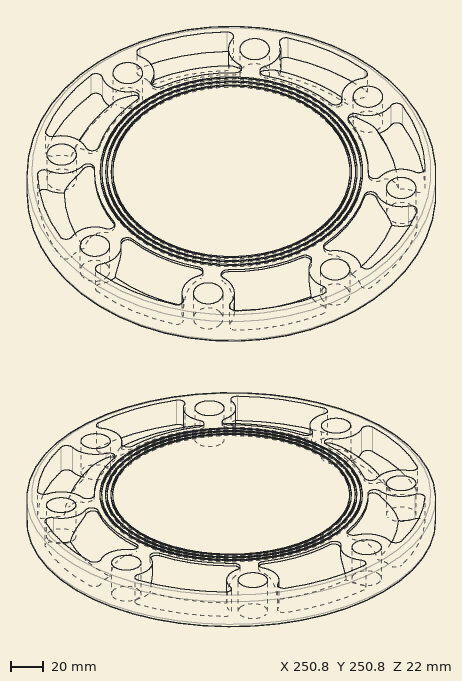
import cadquery as cq
import math

outer_diameter = 250.8
thickness = 22.0
rim_radius = 3.0

hole_count = 8
hole_diameter = 18.0
bolt_circle_radius = 105.0
boss_radius = 16.0

pocket_inner_radius = 84.0
pocket_outer_radius = 119.0
pocket_corner_radius = 4.0
pocket_depth = 17.3

shoulder_outer_radius = 102.5
shoulder_crest_radius = 83.3
shoulder_step = 1.8

groove_inner_diameters = (145.5, 152.2, 159.0)
groove_width = 1.0
groove_depth = 1.0

pitch_angle = 360.0 / hole_count
floor_height = thickness - pocket_depth


def polar(radius, angle):
    """Point at a radius and an angle in degrees from the X axis."""
    return (
        radius * math.cos(math.radians(angle)),
        radius * math.sin(math.radians(angle)),
    )


def triangle_angle(adjacent_a, adjacent_b, opposite):
    """Angle in degrees between two triangle sides, from the three side lengths."""
    cosine = (adjacent_a**2 + adjacent_b**2 - opposite**2) / (2 * adjacent_a * adjacent_b)
    return math.degrees(math.acos(cosine))


def flange_disc():
    """Disc with rounded rims and a circle of bolt holes."""
    disc = cq.Workplane("XY").circle(outer_diameter / 2).extrude(thickness)
    disc = disc.edges().fillet(rim_radius)
    holes = (
        cq.Workplane("XY")
        .polarArray(bolt_circle_radius, 0, 360, hole_count)
        .circle(hole_diameter / 2)
        .extrude(thickness)
    )
    return disc.cut(holes)


def pocket_prism():
    """Pocket between the boss on the X axis and the next one, before the shoulder is left in."""
    centre_to_boss = boss_radius + pocket_corner_radius
    inner_centre_radius = pocket_inner_radius + pocket_corner_radius
    outer_centre_radius = pocket_outer_radius - pocket_corner_radius
    inner_angle = triangle_angle(inner_centre_radius, bolt_circle_radius, centre_to_boss)
    outer_angle = triangle_angle(outer_centre_radius, bolt_circle_radius, centre_to_boss)
    middle_angle = pitch_angle / 2

    def boss_point(centre_radius, centre_angle):
        """Where a corner circle touches the boss."""
        x, y = polar(centre_radius, centre_angle)
        share = boss_radius / centre_to_boss
        return (bolt_circle_radius + (x - bolt_circle_radius) * share, y * share)

    def corner_middle(centre_radius, centre_angle, wall_point, touch_point):
        """Point halfway along the corner arc."""
        x, y = polar(centre_radius, centre_angle)
        dx = wall_point[0] + touch_point[0] - 2 * x
        dy = wall_point[1] + touch_point[1] - 2 * y
        scale = pocket_corner_radius / math.hypot(dx, dy)
        return (x + dx * scale, y + dy * scale)

    def mirrored(point):
        """Reflect a point in the pocket's own radial centre line."""
        angle = math.degrees(math.atan2(point[1], point[0]))
        return polar(math.hypot(*point), pitch_angle - angle)

    inner_wall = polar(pocket_inner_radius, inner_angle)
    inner_touch = boss_point(inner_centre_radius, inner_angle)
    inner_corner = corner_middle(inner_centre_radius, inner_angle, inner_wall, inner_touch)
    outer_wall = polar(pocket_outer_radius, outer_angle)
    outer_touch = boss_point(outer_centre_radius, outer_angle)
    outer_corner = corner_middle(outer_centre_radius, outer_angle, outer_wall, outer_touch)
    touch_angles = [
        math.atan2(y, x - bolt_circle_radius) for x, y in (inner_touch, outer_touch)
    ]
    boss_angle = math.degrees(sum(touch_angles) / 2)
    boss_x, boss_y = polar(boss_radius, boss_angle)
    boss_middle = (bolt_circle_radius + boss_x, boss_y)

    return (
        cq.Workplane("XY", origin=(0, 0, floor_height))
        .moveTo(*inner_wall)
        .threePointArc(inner_corner, inner_touch)
        .threePointArc(boss_middle, outer_touch)
        .threePointArc(outer_corner, outer_wall)
        .threePointArc(polar(pocket_outer_radius, middle_angle), mirrored(outer_wall))
        .threePointArc(mirrored(outer_corner), mirrored(outer_touch))
        .threePointArc(mirrored(boss_middle), mirrored(inner_touch))
        .threePointArc(mirrored(inner_corner), mirrored(inner_wall))
        .threePointArc(polar(pocket_inner_radius, middle_angle), inner_wall)
        .close()
        .extrude(pocket_depth)
    )


def shoulder_ring():
    """Ring with a rounded outer slope that fills the inner side of the pockets."""
    crest_height = thickness - shoulder_step
    rise = crest_height - floor_height
    run = shoulder_outer_radius - shoulder_crest_radius
    slope_radius = (rise**2 + run**2) / (2 * rise)
    half_sweep = math.asin(run / slope_radius) / 2
    slope_middle = (
        shoulder_crest_radius + slope_radius * math.sin(half_sweep),
        crest_height - slope_radius * (1 - math.cos(half_sweep)),
    )
    return (
        cq.Workplane("XZ")
        .moveTo(shoulder_crest_radius, floor_height)
        .lineTo(shoulder_crest_radius, crest_height)
        .threePointArc(slope_middle, (shoulder_outer_radius, floor_height))
        .close()
        .revolve(360, (0, 0), (0, 1))
    )


def groove(inner_diameter):
    """Ring to cut from the top face for one sealing groove."""
    inner_radius = inner_diameter / 2
    return (
        cq.Workplane("XY", origin=(0, 0, thickness - groove_depth))
        .circle(inner_radius + groove_width)
        .circle(inner_radius)
        .extrude(groove_depth)
    )


result = flange_disc()

pocket = pocket_prism().cut(shoulder_ring())
for index in range(hole_count):
    result = result.cut(pocket.rotate((0, 0, 0), (0, 0, 1), index * pitch_angle))

for diameter in groove_inner_diameters:
    result = result.cut(groove(diameter))